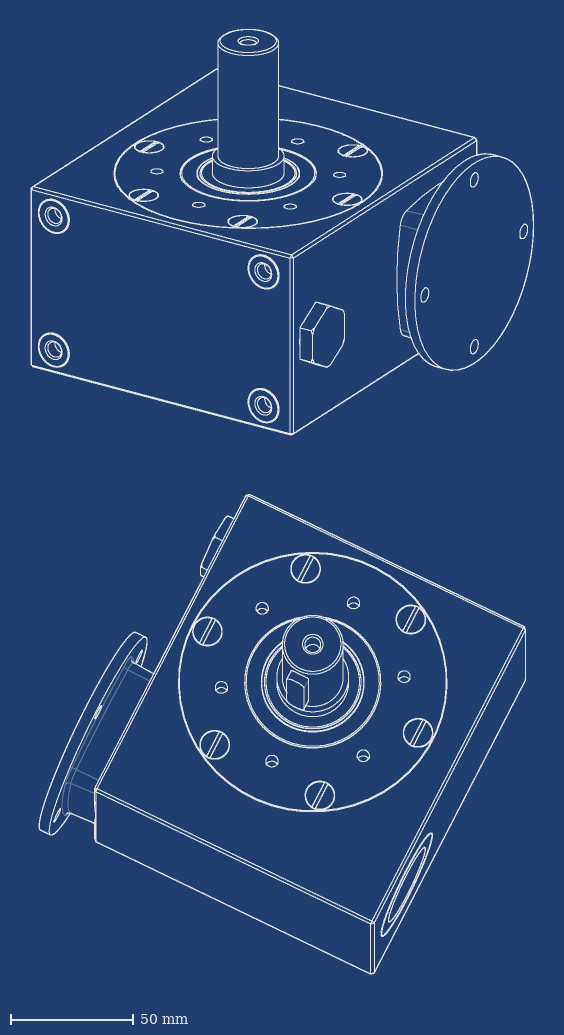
import cadquery as cq
import math


housing_left = -68.0
housing_right = 60.0
housing_front = -60.0
housing_back = 81.0
housing_height = 81.0
housing_chamfer = 1.1
housing_top = housing_height / 2

shaft_diameter = 25.0
shaft_top = 100.0
shaft_bottom = -46.0
shaft_chamfer = 1.0
collar_diameter = 29.5
collar_top = 48.2
stub_neck_diameter = 23.4
stub_neck_height = 1.1
center_hole_diameter = 6.5
center_hole_depth = 12.4
center_hole_chamfer = 1.0
drill_point_angle = 118

key_width = 8.0
key_length = 40.6
key_top_gap = 5.6
key_reach = 16.0

cover_diameter = 110.0
bearing_ring_diameter = 55.8
seal_diameter = 42.2
seal_lip_diameter = 39.5
cover_joint_width = 0.3
ring_bevel = 0.6
joint_line_width = 0.2
joint_depth = 0.6

cover_bolt_count = 6
cover_screw_circle_radius = 48.2
cover_screw_diameter = 12.1
cover_screw_slot_width = 1.5
cover_screw_slot_depth = 0.6
tapped_hole_circle_radius = 37.5
tapped_hole_diameter = 5.0
tapped_hole_depth = 9.3

cap_screw_x_positions = (-56.3, 45.9)
cap_screw_z = 30.0
cap_screw_bore_diameter = 14.9
cap_screw_bevel = 0.39
socket_diameter = 6.7
socket_depth = 6.2
socket_chamfer = 0.8

bearing_plug_diameter = 47.0
bearing_plug_bevel = 0.3
bearing_plug_inner_diameter = 34.0

flange_diameter = 90.0
flange_outermost_y = 95.0
flange_face_x = 78.0
flange_thickness = 4.6
flange_hole_count = 4
flange_hole_diameter = 6.0
flange_hole_circle_radius = 37.5
flange_back_x = flange_face_x - flange_thickness
worm_axis_y = flange_outermost_y - flange_diameter / 2

bell_half_width = 31.5
bell_corner = 27.7
bell_corner_radius = 6.8
bell_draft_angle = 3
bell_root_fillet = 1.9

plug_y = -43.5
plug_across_flats = 24.3
plug_head_end_x = 67.1
plug_neck_diameter = 21.7
plug_neck_length = 1.0
plug_edge_bevel = 0.8

overlap = 1.5


def polar_points(count, radius):
    """Evenly spaced points on a circle, starting on the first axis of the workplane."""
    step = 2 * math.pi / count
    return [(radius * math.cos(i * step), radius * math.sin(i * step)) for i in range(count)]


def groove(diameter, width, depth):
    """Square ring, sunk below z = 0, for a visible joint between two flush bodies."""
    return cq.Workplane("XY").circle(diameter / 2).circle(diameter / 2 - width).extrude(-depth)


def bevel_ring(diameter, size):
    """Triangular ring below z = 0: the beveled edge of a disc set flush into a bore."""
    outer = diameter / 2
    profile = cq.Workplane("XZ").polyline([(outer, 0), (outer, -size), (outer - size, 0)]).close()
    return profile.revolve(360, (0, 0, 0), (0, 1, 0))


def conical_mouth(hole_diameter, chamfer):
    """Countersink below z = 0 for a hole mouth."""
    inner = hole_diameter / 2
    points = [(0, 0), (inner + chamfer, 0), (inner, -chamfer), (0, -chamfer)]
    profile = cq.Workplane("XZ").polyline(points).close()
    return profile.revolve(360, (0, 0, 0), (0, 1, 0))


def make_housing():
    width = housing_right - housing_left
    depth = housing_back - housing_front
    box = cq.Workplane("XY").box(width, depth, housing_height)
    center = ((housing_left + housing_right) / 2, (housing_front + housing_back) / 2, 0)
    return box.edges().chamfer(housing_chamfer).translate(center)


def cut_cover_details(body):
    """Joint rings, slotted screws and tapped holes in the housing top."""
    rings = [
        groove(cover_diameter, cover_joint_width, joint_depth),
        bevel_ring(bearing_ring_diameter, ring_bevel),
        groove(seal_diameter, joint_line_width, joint_depth),
        bevel_ring(seal_lip_diameter, ring_bevel),
    ]
    screw_joint = groove(cover_screw_diameter, joint_line_width, joint_depth)
    slot = cq.Workplane("XY").box(
        cover_screw_slot_width, cover_screw_diameter, cover_screw_slot_depth, centered=(True, True, False)
    )
    screw = screw_joint.union(slot.translate((0, 0, -cover_screw_slot_depth)))
    for x, y in polar_points(cover_bolt_count, cover_screw_circle_radius):
        rings.append(screw.translate((x, y, 0)))
    for cutter in rings:
        body = body.cut(cutter.translate((0, 0, housing_top)))

    tapped_holes = (
        cq.Workplane("XY", origin=(0, 0, housing_top))
        .transformed(rotate=(0, 0, 90))
        .pushPoints(polar_points(cover_bolt_count, tapped_hole_circle_radius))
        .circle(tapped_hole_diameter / 2)
        .extrude(-tapped_hole_depth)
    )
    return body.cut(tapped_holes)


def cut_cap_screws(body):
    """Four flush socket-head screws in the front face."""
    socket = cq.Workplane("XY").circle(socket_diameter / 2).extrude(-socket_depth)
    screw = socket.union(conical_mouth(socket_diameter, socket_chamfer))
    screw = screw.union(bevel_ring(cap_screw_bore_diameter, cap_screw_bevel))
    screw = screw.rotate((0, 0, 0), (1, 0, 0), 90)
    for x in cap_screw_x_positions:
        for z in (-cap_screw_z, cap_screw_z):
            body = body.cut(screw.translate((x, housing_front, z)))
    return body


def cut_bearing_plug(body):
    """Flush round plug at the left end of the worm."""
    rings = bevel_ring(bearing_plug_diameter, bearing_plug_bevel)
    rings = rings.union(groove(bearing_plug_inner_diameter, joint_line_width, joint_depth))
    rings = rings.rotate((0, 0, 0), (0, 1, 0), -90)
    return body.cut(rings.translate((housing_left, worm_axis_y, 0)))


def make_shaft():
    upper = (
        cq.Workplane("XY")
        .circle(shaft_diameter / 2)
        .extrude(shaft_top)
        .faces(">Z")
        .edges()
        .chamfer(shaft_chamfer)
    )
    collar = cq.Workplane("XY").circle(collar_diameter / 2).extrude(collar_top)
    neck_end = -housing_top - stub_neck_height
    neck = cq.Workplane("XY").circle(stub_neck_diameter / 2).extrude(neck_end)
    stub = (
        cq.Workplane("XY", origin=(0, 0, neck_end))
        .circle(shaft_diameter / 2)
        .extrude(shaft_bottom - neck_end)
        .faces("<Z")
        .edges()
        .chamfer(shaft_chamfer)
    )
    return upper.union(collar).union(neck).union(stub)


def make_key():
    """Round-ended key standing on the +Y side of the shaft."""
    center_z = shaft_top - key_top_gap - key_length / 2
    return (
        cq.Workplane("XZ", origin=(0, 0, center_z))
        .slot2D(key_length, key_width, 90)
        .extrude(-key_reach)
    )


def make_center_hole():
    """Drilled and countersunk hole in the shaft end."""
    radius = center_hole_diameter / 2
    point_length = radius / math.tan(math.radians(drill_point_angle / 2))
    mouth = radius + center_hole_chamfer
    profile = [
        (0, 0),
        (mouth, 0),
        (radius, -center_hole_chamfer),
        (radius, -center_hole_depth),
        (0, -center_hole_depth - point_length),
    ]
    hole = cq.Workplane("XZ").polyline(profile).close().revolve(360, (0, 0, 0), (0, 1, 0))
    return hole.translate((0, 0, shaft_top))


def bell_prism(length, taper=0.0):
    """Rounded square with bulging sides, grown from the flange back towards the housing."""
    middle = bell_half_width
    corner = bell_corner
    outline = (
        cq.Sketch()
        .arc((corner, -corner), (middle, 0), (corner, corner))
        .arc((corner, corner), (0, middle), (-corner, corner))
        .arc((-corner, corner), (-middle, 0), (-corner, -corner))
        .arc((-corner, -corner), (0, -middle), (corner, -corner))
        .assemble()
        .vertices()
        .fillet(bell_corner_radius)
    )
    start = cq.Workplane("YZ", origin=(flange_back_x, worm_axis_y, 0))
    return start.placeSketch(outline).extrude(-length, taper=taper)


def make_motor_flange():
    flange = (
        cq.Workplane("YZ", origin=(flange_back_x, worm_axis_y, 0))
        .circle(flange_diameter / 2)
        .extrude(flange_thickness)
        .faces(">X")
        .workplane(origin=(flange_face_x, worm_axis_y, 0))
        .pushPoints(polar_points(flange_hole_count, flange_hole_circle_radius))
        .hole(flange_hole_diameter)
    )
    bell_length = flange_back_x - housing_right + overlap
    bell = bell_prism(bell_length, taper=bell_draft_angle)
    body = flange.union(bell)

    back_center = (flange_back_x, worm_axis_y, 0)
    back_face = body.faces(cq.selectors.NearestToPointSelector(back_center)).val()
    root_edges = max(back_face.innerWires(), key=lambda wire: wire.Length()).Edges()
    return body.newObject(root_edges).fillet(bell_root_fillet)


def make_oil_plug():
    """Hexagonal plug with a beveled outer end and a short round neck, screwed into the right side."""
    head_start_x = housing_right + plug_neck_length
    head_length = plug_head_end_x - head_start_x
    across_corners = plug_across_flats / math.cos(math.pi / 6)
    base = cq.Workplane("YZ", origin=(head_start_x, plug_y, 0))
    head = base.transformed(rotate=(0, 0, 90)).polygon(6, across_corners).extrude(head_length)
    envelope = base.circle(across_corners / 2).extrude(head_length)
    envelope = envelope.faces(">X").edges().chamfer(plug_edge_bevel)
    neck = base.circle(plug_neck_diameter / 2).extrude(-plug_neck_length - overlap)
    return head.intersect(envelope).union(neck)


housing = make_housing()
housing = cut_cover_details(housing)
housing = cut_cap_screws(housing)
housing = cut_bearing_plug(housing)

result = (
    housing.union(make_shaft())
    .union(make_key())
    .cut(make_center_hole())
    .union(make_motor_flange())
    .union(make_oil_plug())
)